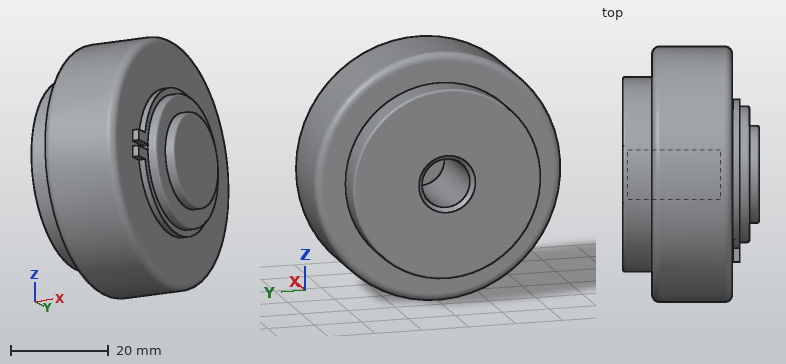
import cadquery as cq

roller_diameter = 52.5
roller_width = 16.5
roller_round = 1.65

collar_diameter = 40.0
collar_length = 6.0
edge_round = 0.5

hub_diameter = 28.0
hub_length = 2.0
nub_diameter = 20.0
nub_length = 2.0

ring_diameter = 30.8
ring_clearance = 0.1
ring_thickness = 1.4
lug_reach = 18.0
lug_width = 2.25
groove_diameter = 26.6
ring_gap = 1.15

bore_diameter = 10.2
bore_mouth_diameter = 12.0
bore_depth = 19.95

roller_start = collar_length
groove_start = roller_start + roller_width
ring_start = groove_start + ring_clearance
hub_start = ring_start + ring_thickness
hub_end = hub_start + hub_length


def disc(start, length, diameter):
    """Solid cylinder on the X axis."""
    return cq.Workplane("YZ", origin=(start, 0, 0)).circle(diameter / 2).extrude(length)


def radial_bar(width):
    """Bar as thick as the ring, reaching from the axis to the lug ends toward -Y."""
    bar = cq.Workplane("XY").box(ring_thickness, lug_reach, width, centered=(False, False, True))
    return bar.translate((ring_start, -lug_reach, 0))


def retaining_ring():
    """Ring with two lugs beside its gap, on the -Y side."""
    lugs = radial_bar(2 * lug_width + ring_gap)
    return disc(ring_start, ring_thickness, ring_diameter).union(lugs).cut(radial_bar(ring_gap))


def bore():
    """Blind bore entering from the collar face, with a 45 degree countersink."""
    mouth_chamfer = (bore_mouth_diameter - bore_diameter) / 2
    profile = [
        (0, 0),
        (0, bore_mouth_diameter / 2),
        (mouth_chamfer, bore_diameter / 2),
        (bore_depth, bore_diameter / 2),
        (bore_depth, 0),
    ]
    return cq.Workplane("XY").polyline(profile).close().revolve(360, (0, 0, 0), (1, 0, 0))


collar = disc(0, collar_length, collar_diameter).faces("<X").edges().fillet(edge_round)
roller = disc(roller_start, roller_width, roller_diameter).edges("%CIRCLE").fillet(roller_round)
groove_floor = disc(groove_start, hub_start - groove_start, groove_diameter)
hub = disc(hub_start, hub_length, hub_diameter).faces(">X").edges().fillet(edge_round)
nub = disc(hub_end, nub_length, nub_diameter).faces(">X").edges().fillet(edge_round)

body = collar.union(roller).union(groove_floor).union(hub).union(nub)
result = body.union(retaining_ring()).cut(bore())